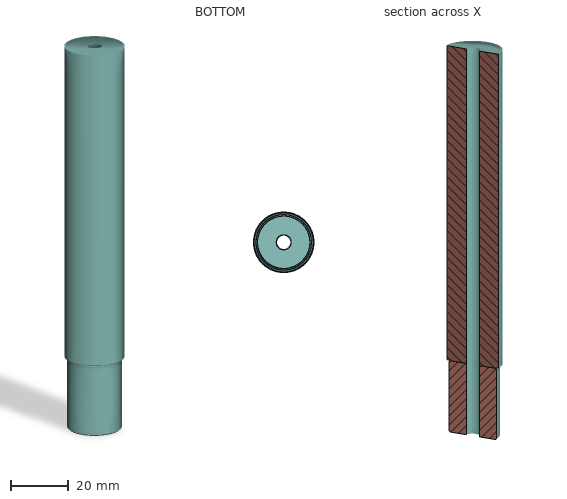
import cadquery as cq

total_length = 140.0
rod_diameter = 21.0
rod_chamfer = 0.21
end_diameter = 19.2
end_length = 26.0
end_chamfer = 0.5
bore_diameter = 5.0


def make_end_piece():
    """Narrow lower cylinder with both rims chamfered and a through bore."""
    return (
        cq.Workplane("XY")
        .circle(end_diameter / 2)
        .extrude(end_length)
        .faces("<Z or >Z")
        .chamfer(end_chamfer)
        .faces(">Z")
        .workplane()
        .hole(bore_diameter)
    )


def make_rod():
    """Long cylinder standing on the end piece, lower rim chamfered, bored through."""
    return (
        cq.Workplane("XY")
        .workplane(offset=end_length)
        .circle(rod_diameter / 2)
        .extrude(total_length - end_length)
        .faces("<Z")
        .chamfer(rod_chamfer)
        .faces(">Z")
        .workplane()
        .hole(bore_diameter)
    )


end_piece = make_end_piece()
rod = make_rod()

result = cq.Compound.makeCompound([end_piece.val(), rod.val()])